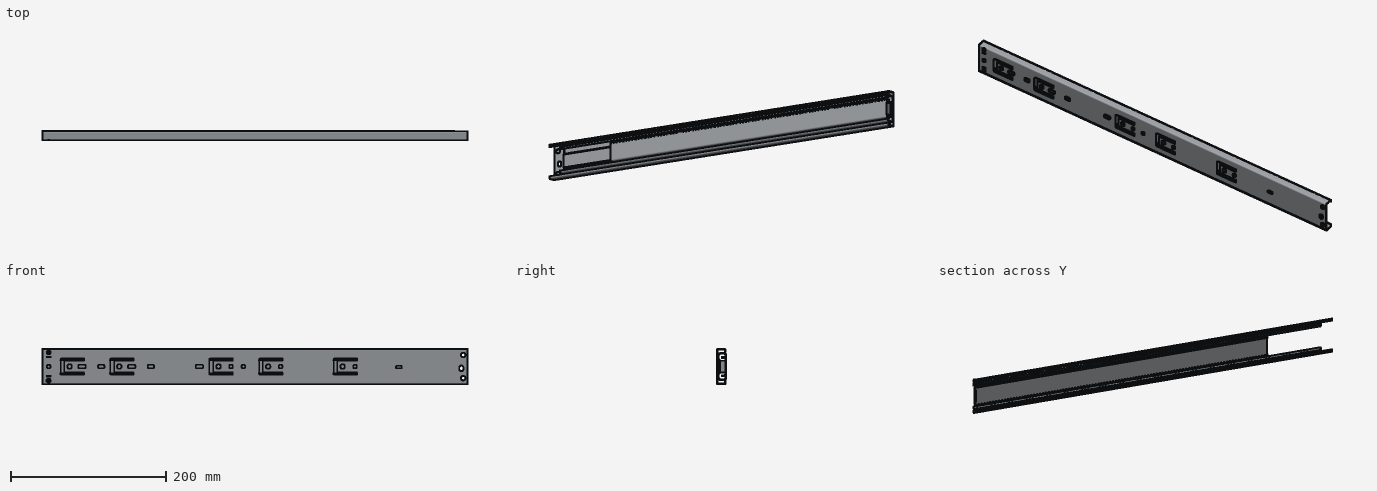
import cadquery as cq


outer_length = 548.0
slide_depth = 12.7
outer_height = 45.7
sheet = 1.2

outer_depth = 12.0
outer_bend = 2.0
outer_lip_end = 19.2

middle_length = 531.0
middle_height = 35.0
middle_clearance = 0.7
middle_front = 12.55
middle_bend = 2.8
middle_lip_end = 14.0
raised_web_back = 3.2
raised_web_half = 8.4
edge_strip_start = 9.8

inner_start = 2.0
inner_end = 449.0
inner_sheet = 1.5
inner_height = 24.8
inner_back = 6.4
inner_bend = 2.0
end_tab_height = 15.4
end_tab_clearance = 0.2

pitch = 32.0
first_hole = 35.0
fixing_hole_diameter = 6.0
small_hole_diameter = 5.0
slot_height = 5.0

bracket_pitches = (0, 2, 6, 8, 11)
bracket_slot_pitches = (0.5, 2.5)
small_hole_pitches = (6.5, 7, 8.5, 11.5)
bracket_slot_length = 10.0

bracket_hole_inset = 11.7
bracket_length = 30.0
bracket_height = 21.6
bracket_side_gap = 3.6
bracket_end_gap = 5.0
bracket_corner = 2.5

short_slots = (75.8, 139.8)
short_slot_length = 8.5
middle_slot_x = 202.3
middle_slot_length = 10.0
narrow_slot_x = 459.5
narrow_slot_length = 8.0
narrow_slot_height = 3.3
narrow_slot_z = -0.8

left_end_x = 8.0
left_hole_z = 18.2
left_slit_length = 5.0
left_slit_height = 1.0
left_slit_z = 12.4
right_hole_x = 542.3
right_hole_diameter = 5.6
right_hole_z = 14.9
right_slot_x = 540.0
right_slot_length = 7.0
right_slot_z = -2.3


def bar(y_min, y_max, height, x_start, x_end):
    """Rectangular bar along X, centred on Z = 0."""
    return cq.Workplane("XY").box(
        x_end - x_start, y_max - y_min, height, centered=(False, False, True)
    ).translate((x_start, y_min, 0))


def mirrored(half_outline):
    """Lower half of an outline that is symmetric about Z = 0, in running order."""
    return [(y, -z) for y, z in reversed(half_outline)]


def web_plane(x, z=0.0):
    """Sketch plane on the inside of the outer rail's web; extruding goes to the mounting face."""
    return cq.Workplane("XZ", origin=(x, sheet, z))


def round_hole(x, diameter, z=0.0):
    return web_plane(x, z).circle(diameter / 2).extrude(sheet)


def slot(x, length, height=slot_height, z=0.0, angle=0.0):
    return web_plane(x, z).slot2D(length, height, angle).extrude(sheet)


def bracket_cut(hole_x):
    """U-shaped cut, open to the right, that frees a tongue around a fixing hole."""
    left = hole_x - bracket_hole_inset
    right = left + bracket_length
    frame = bar(0, sheet, bracket_height, left, right)
    frame = frame.edges("|Y and <X").fillet(bracket_corner)
    tongue_height = bracket_height - 2 * bracket_side_gap
    tongue = bar(0, sheet, tongue_height, left + bracket_end_gap, right)
    return frame.cut(tongue)


def outer_cutouts():
    """All the openings in the web of the outer rail."""
    cutouts = []
    for step in bracket_pitches:
        hole_x = first_hole + step * pitch
        cutouts.append(bracket_cut(hole_x))
        cutouts.append(round_hole(hole_x, fixing_hole_diameter))
    for step in bracket_slot_pitches:
        cutouts.append(slot(first_hole + step * pitch, bracket_slot_length))
    for step in small_hole_pitches:
        cutouts.append(round_hole(first_hole + step * pitch, small_hole_diameter))
    for x in short_slots:
        cutouts.append(slot(x, short_slot_length))
    cutouts.append(slot(middle_slot_x, middle_slot_length))
    cutouts.append(slot(narrow_slot_x, narrow_slot_length, narrow_slot_height, narrow_slot_z))

    cutouts.append(round_hole(left_end_x, small_hole_diameter))
    cutouts.append(slot(right_slot_x, right_slot_length, z=right_slot_z, angle=90))
    for side in (1, -1):
        cutouts.append(round_hole(left_end_x, small_hole_diameter, side * left_hole_z))
        cutouts.append(slot(left_end_x, left_slit_length, left_slit_height, side * left_slit_z))
        cutouts.append(round_hole(right_hole_x, right_hole_diameter, side * right_hole_z))
    return cutouts


def make_outer_rail():
    """Channel with its web at -Y and lips turned in along the open side."""
    rail = bar(0, outer_depth, outer_height, 0, outer_length)
    rail = rail.edges("|X").fillet(outer_bend)
    cavity = bar(sheet, outer_depth - sheet, outer_height - 2 * sheet, 0, outer_length)
    cavity = cavity.edges("|X").fillet(outer_bend - sheet)
    mouth = bar(sheet, outer_depth, 2 * outer_lip_end, 0, outer_length)
    rail = rail.cut(cavity).cut(mouth)
    for cutout in outer_cutouts():
        rail = rail.cut(cutout)
    return rail


def make_middle_rail():
    """Channel with a raised web, edge strips next to the outer rail, and lips turned in."""
    top = middle_height / 2
    strip_back = sheet + middle_clearance
    outside = [
        (middle_front, middle_lip_end),
        (middle_front, top),
        (strip_back, top),
        (strip_back, edge_strip_start),
        (raised_web_back, raised_web_half),
    ]
    inside = [
        (raised_web_back + sheet, raised_web_half),
        (strip_back + sheet, edge_strip_start),
        (strip_back + sheet, top - sheet),
        (middle_front - sheet, top - sheet),
        (middle_front - sheet, middle_lip_end),
    ]
    outline = outside + mirrored(outside) + mirrored(inside) + inside
    rail = cq.Workplane("YZ").polyline(outline).close().extrude(middle_length)
    rail = rail.edges("|X and (>Z or <Z)").fillet(middle_bend)
    for side in (1, -1):
        z = side * (top - sheet)
        lower_corner = (0, 0, z - sheet / 4)
        upper_corner = (middle_length, slide_depth, z + sheet / 4)
        flange_inside = cq.selectors.BoxSelector(lower_corner, upper_corner)
        rail = rail.edges("|X").edges(flange_inside).fillet(middle_bend - sheet)
    return rail


def make_inner_rail():
    """Channel with its web at +Y, closed at the left end by a bent tab."""
    rail = bar(inner_back, slide_depth, inner_height, inner_start, inner_end)
    rail = rail.edges("|X and >Y").fillet(inner_bend)
    web_inside = slide_depth - inner_sheet
    cavity = bar(inner_back, web_inside, inner_height - 2 * inner_sheet, inner_start, inner_end)
    cavity = cavity.edges("|X and >Y").fillet(inner_bend - inner_sheet)
    tab_back = raised_web_back + sheet + end_tab_clearance
    end_tab = bar(tab_back, web_inside, end_tab_height, inner_start, inner_start + inner_sheet)
    return rail.cut(cavity).union(end_tab)


outer_rail = make_outer_rail()
middle_rail = make_middle_rail()
inner_rail = make_inner_rail()

result = cq.Compound.makeCompound([outer_rail.val(), middle_rail.val(), inner_rail.val()])